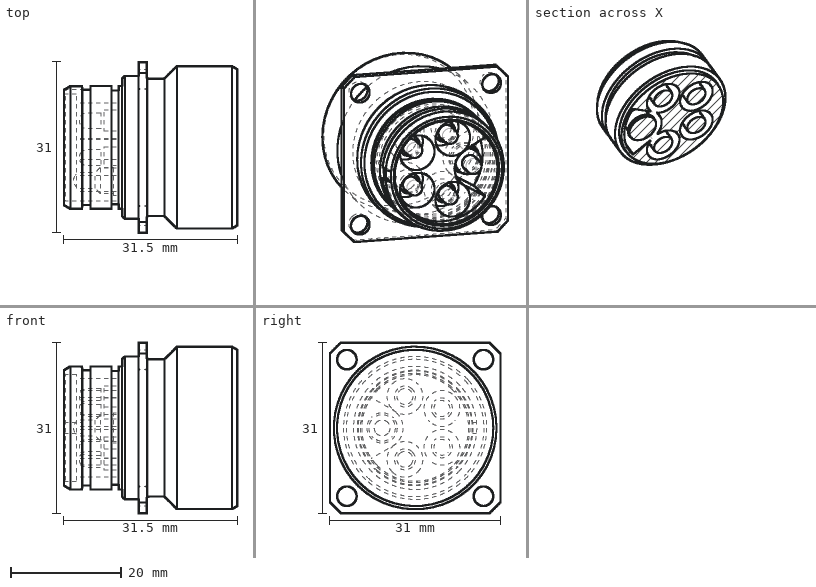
import cadquery as cq
import math

LENGTH = 31.5
CHAMFER_SLOPE = math.tan(math.radians(30))

BARREL_R = 11.2
GROOVE_R = 10.5
RELIEF_R = 10.35
LEAD_IN = 1.2
GROOVE_START = 3.25
GROOVE_WALL_RUN = 0.15
GROOVE_END = 4.8
RELIEF_START = 8.65
RELIEF_END = 9.95

COLLAR_R = 13.0
COLLAR_START = 10.55
COLLAR_CHAMFER = 0.5

FLANGE_START = 13.55
FLANGE_THICK = 1.5
FLANGE_END = FLANGE_START + FLANGE_THICK
FLANGE_SIDE = 31.0
FLANGE_CHAMFER = 2.0
MOUNT_PITCH = 24.8
MOUNT_DIA = 3.5

NECK_R = 12.5
NECK_FILLET = 0.3
BODY_R = 14.77
BODY_START = 20.5
NECK_END = BODY_START - (BODY_R - NECK_R)
BODY_CHAMFER = 1.0

NOTCH_WIDTH = 2.0

MOUTH_R = 9.7
MOUTH_CHAMFER = 0.25
INSERT_X = 2.3

PIN_COUNT = 5
PIN_CIRCLE_R = 6.0
GROUND_INDEX = 2
FIRST_PIN_ANGLE = 36.0
CHAMBER_R = 3.25
GROUND_CHAMBER_R = 3.8
GROUND_WALL_ANGLE = 30.0
CHAMBER_FLOOR_X = 10.0
PIN_TIP_X = 2.8
GROUND_PIN_TIP_X = 1.75
TIP_FLAT_R = 0.24
PIN_BALL_R = 1.44
PIN_NECK = 2.5
PIN_R = 1.9
PIN_TAPER = 0.6
GROUND_PIN_R = 2.4
GROUND_TAPER = GROUND_PIN_R - PIN_BALL_R
GROUND_SHOULDER_R = 2.75
GROUND_SHOULDER_HEIGHT = 1.0


def revolve_about_x(profile):
    """Turn a closed XY profile about the X axis."""
    return profile.close().revolve(360, (0, 0, 0), (1, 0, 0))


def turned_shell():
    """Outside of the connector without the square flange."""
    fillet_mid = NECK_FILLET * (1 - math.sqrt(0.5))
    profile = (
        cq.Workplane("XY")
        .moveTo(0, 0)
        .lineTo(0, BARREL_R - LEAD_IN * CHAMFER_SLOPE)
        .lineTo(LEAD_IN, BARREL_R)
        .lineTo(GROOVE_START, BARREL_R)
        .lineTo(GROOVE_START + GROOVE_WALL_RUN, GROOVE_R)
        .lineTo(GROOVE_END, GROOVE_R)
        .lineTo(GROOVE_END, BARREL_R)
        .lineTo(RELIEF_START, BARREL_R)
        .lineTo(RELIEF_START, RELIEF_R)
        .lineTo(RELIEF_END, RELIEF_R)
        .lineTo(RELIEF_END, BARREL_R)
        .lineTo(COLLAR_START, BARREL_R)
        .lineTo(COLLAR_START, COLLAR_R - COLLAR_CHAMFER)
        .lineTo(COLLAR_START + COLLAR_CHAMFER, COLLAR_R)
        .lineTo(FLANGE_END, COLLAR_R)
        .lineTo(FLANGE_END, NECK_R + NECK_FILLET)
        .threePointArc(
            (FLANGE_END + fillet_mid, NECK_R + fillet_mid),
            (FLANGE_END + NECK_FILLET, NECK_R),
        )
        .lineTo(NECK_END, NECK_R)
        .lineTo(BODY_START, BODY_R)
        .lineTo(LENGTH - BODY_CHAMFER, BODY_R)
        .lineTo(LENGTH, BODY_R - BODY_CHAMFER * CHAMFER_SLOPE)
        .lineTo(LENGTH, 0)
    )
    return revolve_about_x(profile)


def flange():
    """Square plate with chamfered corners and four mounting holes."""
    return (
        cq.Workplane("YZ", origin=(FLANGE_START, 0, 0))
        .rect(FLANGE_SIDE, FLANGE_SIDE)
        .extrude(FLANGE_THICK)
        .edges("|X")
        .chamfer(FLANGE_CHAMFER)
        .faces("<X")
        .workplane(origin=(FLANGE_START, 0, 0))
        .rect(MOUNT_PITCH, MOUNT_PITCH, forConstruction=True)
        .vertices()
        .hole(MOUNT_DIA)
    )


def mouth():
    """Cutter for the open mouth with its chamfered rim."""
    profile = (
        cq.Workplane("XY")
        .moveTo(0, 0)
        .lineTo(0, MOUTH_R + MOUTH_CHAMFER)
        .lineTo(MOUTH_CHAMFER, MOUTH_R)
        .lineTo(INSERT_X, MOUTH_R)
        .lineTo(INSERT_X, 0)
    )
    return revolve_about_x(profile)


def notch():
    """Cutter that opens the first land down to the groove floor."""
    depth = BARREL_R - GROOVE_R
    return (
        cq.Workplane("XY", origin=(0, GROOVE_R, 0))
        .box(GROOVE_END, depth, NOTCH_WIDTH, centered=(False, False, True))
    )


def pin_position(index):
    """Y and Z of a contact on the pin circle."""
    angle = math.radians(FIRST_PIN_ANGLE + index * 360 / PIN_COUNT)
    return PIN_CIRCLE_R * math.cos(angle), PIN_CIRCLE_R * math.sin(angle)


def chamber(index, radius):
    """Round cutter around one contact, from the insert face to the chamber floor."""
    return (
        cq.Workplane("YZ", origin=(INSERT_X, 0, 0))
        .center(*pin_position(index))
        .circle(radius)
        .extrude(CHAMBER_FLOOR_X - INSERT_X)
    )


def ground_chamber():
    """Ground chamber that fans out to the mouth wall along two tangent walls."""
    depth = CHAMBER_FLOOR_X - INSERT_X
    centre_y, _ = pin_position(GROUND_INDEX)
    wall = math.radians(GROUND_WALL_ANGLE)
    tangent_y = centre_y + GROUND_CHAMBER_R * math.sin(wall)
    tangent_z = GROUND_CHAMBER_R * math.cos(wall)
    outer_y = -MOUTH_R
    outer_z = tangent_z + (tangent_y - outer_y) * math.tan(wall)
    fan = (
        cq.Workplane("YZ", origin=(INSERT_X, 0, 0))
        .moveTo(tangent_y, tangent_z)
        .lineTo(outer_y, outer_z)
        .lineTo(outer_y, -outer_z)
        .lineTo(tangent_y, -tangent_z)
        .close()
        .extrude(depth)
    )
    mouth_limit = cq.Workplane("YZ", origin=(INSERT_X, 0, 0)).circle(MOUTH_R).extrude(depth)
    return chamber(GROUND_INDEX, GROUND_CHAMBER_R).union(fan).intersect(mouth_limit)


def pin(index, tip_x, radius, taper):
    """Contact with a flat-topped ball tip on a straight neck that tapers out to its shank."""
    ball_centre_x = tip_x + math.sqrt(PIN_BALL_R**2 - TIP_FLAT_R**2)
    ball_diagonal = PIN_BALL_R * math.sqrt(0.5)
    profile = (
        cq.Workplane("XY")
        .moveTo(tip_x, 0)
        .lineTo(tip_x, TIP_FLAT_R)
        .threePointArc((ball_centre_x - ball_diagonal, ball_diagonal), (ball_centre_x, PIN_BALL_R))
        .lineTo(ball_centre_x + PIN_NECK, PIN_BALL_R)
        .lineTo(ball_centre_x + PIN_NECK + taper, radius)
        .lineTo(CHAMBER_FLOOR_X, radius)
        .lineTo(CHAMBER_FLOOR_X, 0)
    )
    return revolve_about_x(profile).translate((0, *pin_position(index)))


def ground_shoulder():
    """Round step at the foot of the ground pin."""
    return (
        cq.Workplane("YZ", origin=(CHAMBER_FLOOR_X - GROUND_SHOULDER_HEIGHT, 0, 0))
        .center(*pin_position(GROUND_INDEX))
        .circle(GROUND_SHOULDER_R)
        .extrude(GROUND_SHOULDER_HEIGHT)
    )


result = turned_shell().union(flange()).cut(mouth()).cut(notch())
for pin_index in range(PIN_COUNT):
    if pin_index == GROUND_INDEX:
        result = result.cut(ground_chamber())
        result = result.union(pin(pin_index, GROUND_PIN_TIP_X, GROUND_PIN_R, GROUND_TAPER))
        result = result.union(ground_shoulder())
    else:
        result = result.cut(chamber(pin_index, CHAMBER_R))
        result = result.union(pin(pin_index, PIN_TIP_X, PIN_R, PIN_TAPER))